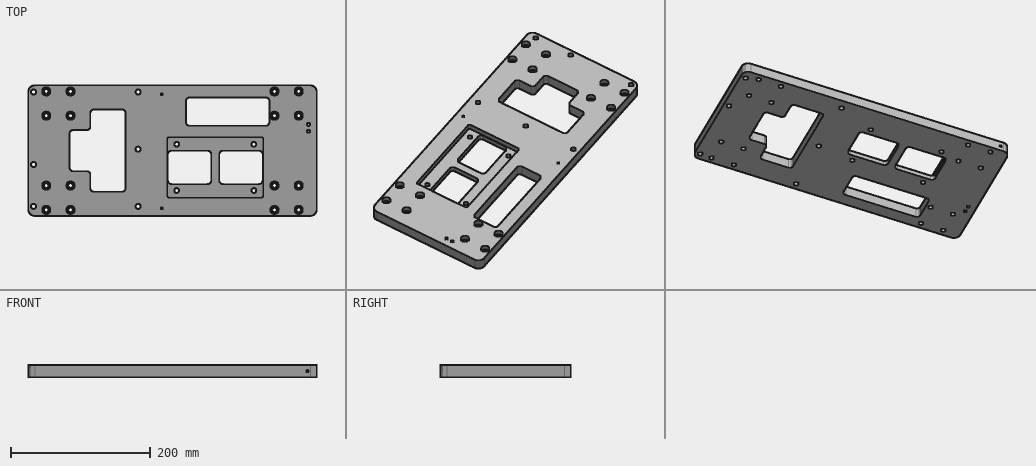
import cadquery as cq

LENGTH = 415.0
WIDTH = 188.0
THICKNESS = 18.0
CORNER_RADIUS = 10.0
TOP = THICKNESS / 2

MOUNT_HOLE_DIAMETER = 6.5
COUNTERBORE_DIAMETER = 12.0
COUNTERBORE_DEPTH = 8.0
MOUNT_PITCH = 35.0
MOUNT_OUTER_X = 181.5
MOUNT_OUTER_Y = 85.0

PLAIN_HOLE_DIAMETER = 7.0
END_COLUMN_X = -199.5
MIDDLE_COLUMN_X = -49.5
PLAIN_TOP_Y = 84.2
PLAIN_BOTTOM_Y = -80.0
END_COLUMN_MIDDLE_Y = -20.0

PIN_DIAMETER = 3.0
PIN_DEPTH = 8.5
PIN_X = -15.5
PIN_TOP_Y = 81.0
PIN_BOTTOM_Y = -83.0

SMALL_HOLE_DIAMETER = 4.0
SMALL_HOLE_X = 195.5
SMALL_HOLE_Y = 37.8
SMALL_HOLE_PITCH = 10.0

EDGE_HOLE_DIAMETER = 3.5
EDGE_HOLE_DEPTH = 10.0
EDGE_HOLE_X = 194.0

WINDOW_RADIUS = 5.0
T_RIGHT_X = -67.5
T_STEP_X = -118.0
T_LEFT_X = -147.7
T_HEIGHT = 118.0
T_STEM_HEIGHT = 59.0

SLOT_LENGTH = 119.5
SLOT_WIDTH = 40.3
SLOT_CENTER = (79.3, 56.0)

POCKET_LENGTH = 137.5
POCKET_WIDTH = 86.7
POCKET_DEPTH = 9.0
POCKET_RADIUS = 2.0
POCKET_CENTER = (61.5, -24.0)
FLOOR_WINDOW_LENGTH = 62.2
FLOOR_WINDOW_WIDTH = 47.7
FLOOR_WINDOW_PITCH = 74.0
FLOOR_WINDOW_RADIUS = 5.5
FLOOR_HOLE_DIAMETER = 6.5
FLOOR_HOLE_PITCH_X = 111.0
FLOOR_HOLE_PITCH_Y = 66.5


def cut_box(length, width, depth, radius, center):
    """Round-cornered block that reaches down from the top face."""
    block = cq.Workplane("XY").box(length, width, depth).edges("|Z").fillet(radius)
    return block.translate((center[0], center[1], TOP - depth / 2))


def drill(body, points, diameter, depth=THICKNESS):
    """Drill round holes down from the top face."""
    pins = cq.Workplane("XY", origin=(0, 0, TOP)).pushPoints(points).circle(diameter / 2).extrude(-depth)
    return body.cut(pins)


def around(center, pitch_x, pitch_y):
    """Four corners of a rectangle about a centre."""
    return [
        (center[0] + side_x * pitch_x / 2, center[1] + side_y * pitch_y / 2)
        for side_x in (-1, 1)
        for side_y in (-1, 1)
    ]


plate = cq.Workplane("XY").box(LENGTH, WIDTH, THICKNESS).edges("|Z").fillet(CORNER_RADIUS)

t_outline = [
    (T_RIGHT_X, -T_HEIGHT / 2),
    (T_RIGHT_X, T_HEIGHT / 2),
    (T_STEP_X, T_HEIGHT / 2),
    (T_STEP_X, T_STEM_HEIGHT / 2),
    (T_LEFT_X, T_STEM_HEIGHT / 2),
    (T_LEFT_X, -T_STEM_HEIGHT / 2),
    (T_STEP_X, -T_STEM_HEIGHT / 2),
    (T_STEP_X, -T_HEIGHT / 2),
]
t_window = cq.Workplane("XY").polyline(t_outline).close().extrude(TOP, both=True)
plate = plate.cut(t_window.edges("|Z").fillet(WINDOW_RADIUS))

plate = plate.cut(cut_box(SLOT_LENGTH, SLOT_WIDTH, THICKNESS, WINDOW_RADIUS, SLOT_CENTER))

plate = plate.cut(cut_box(POCKET_LENGTH, POCKET_WIDTH, POCKET_DEPTH, POCKET_RADIUS, POCKET_CENTER))
for side in (-1, 1):
    window_center = (POCKET_CENTER[0] + side * FLOOR_WINDOW_PITCH / 2, POCKET_CENTER[1])
    plate = plate.cut(
        cut_box(FLOOR_WINDOW_LENGTH, FLOOR_WINDOW_WIDTH, THICKNESS, FLOOR_WINDOW_RADIUS, window_center)
    )
plate = drill(plate, around(POCKET_CENTER, FLOOR_HOLE_PITCH_X, FLOOR_HOLE_PITCH_Y), FLOOR_HOLE_DIAMETER)

group_centers = around(
    (0, 0), 2 * MOUNT_OUTER_X - MOUNT_PITCH, 2 * MOUNT_OUTER_Y - MOUNT_PITCH
)
for group_center in group_centers:
    mount_points = around(group_center, MOUNT_PITCH, MOUNT_PITCH)
    plate = drill(plate, mount_points, MOUNT_HOLE_DIAMETER)
    plate = drill(plate, mount_points, COUNTERBORE_DIAMETER, COUNTERBORE_DEPTH)

middle_column_y = (PLAIN_TOP_Y, (PLAIN_TOP_Y + PLAIN_BOTTOM_Y) / 2, PLAIN_BOTTOM_Y)
end_column_y = (PLAIN_TOP_Y, END_COLUMN_MIDDLE_Y, PLAIN_BOTTOM_Y)
plate = drill(plate, [(MIDDLE_COLUMN_X, y) for y in middle_column_y], PLAIN_HOLE_DIAMETER)
plate = drill(plate, [(END_COLUMN_X, y) for y in end_column_y], PLAIN_HOLE_DIAMETER)

plate = drill(plate, [(PIN_X, PIN_TOP_Y), (PIN_X, PIN_BOTTOM_Y)], PIN_DIAMETER, PIN_DEPTH)
small_hole_points = [(SMALL_HOLE_X, SMALL_HOLE_Y), (SMALL_HOLE_X, SMALL_HOLE_Y - SMALL_HOLE_PITCH)]
plate = drill(plate, small_hole_points, SMALL_HOLE_DIAMETER)

edge_hole = (
    cq.Workplane("XZ", origin=(EDGE_HOLE_X, -WIDTH / 2, 0))
    .circle(EDGE_HOLE_DIAMETER / 2)
    .extrude(-EDGE_HOLE_DEPTH)
)
result = plate.cut(edge_hole)